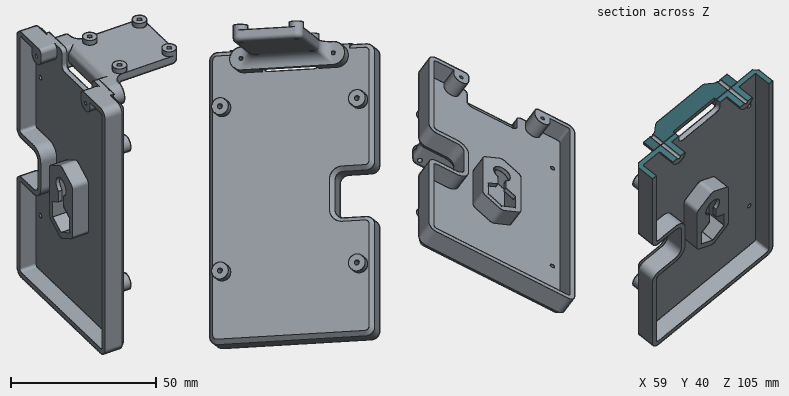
import cadquery as cq
import math


TRAY_WIDTH = 59.0
TRAY_HEIGHT = 103.0
TRAY_DEPTH = 8.4
WALL = 2.0
FLOOR = 2.0
OUTER_RADIUS = 3.0
INNER_RADIUS = OUTER_RADIUS - WALL
BACK_CHAMFER = 1.6
POCKET_DEPTH = TRAY_DEPTH - FLOOR

NOTCH_DEPTH = 14.2
NOTCH_HEIGHT = 16.4
NOTCH_Z = TRAY_HEIGHT - 52.7
NOTCH_WALL = 1.8
NOTCH_RADIUS = 3.0

SCREW_X = 16.5
SCREW_DROP = 4.0
SCREW_Z = TRAY_HEIGHT - SCREW_DROP
SCREW_HOLE = 1.4
SCREW_BOSS_RADIUS = 3.0
GATE_HALF_WIDTH = SCREW_X - SCREW_BOSS_RADIUS
GATE_FLARE = 1.6
CHAMFER_STOP_X = 21.0
CHAMFER_STOP_FLARE = 0.8

SLOT_WIDTH = 20.2
SLOT_DEPTH = 8.1
SLOT_CORNER_RADIUS = 2.0
SLOT_FLARE = 1.7

STANDOFF_X = 24.5
STANDOFF_SPACING_Z = 58.0
STANDOFF_TOP_Z = TRAY_HEIGHT - 20.1
STANDOFF_DIAMETER = 6.0
STANDOFF_LENGTH = 3.3
BOARD_HOLE = 1.7

KEYHOLE_TOP_Z = TRAY_HEIGHT - 48.9
KEYHOLE_TRAVEL = 12.8
KEYHOLE_BOTTOM_Z = KEYHOLE_TOP_Z - KEYHOLE_TRAVEL
HANGER_WIDTH = 15.4
HANGER_RADIUS = 2.0
HEAD_WIDTH = 11.1
HEAD_DEPTH = 7.2
HANGER_LIP = 1.5
NECK_WIDTH = 3.3
KEYHOLE_DIAMETER = 6.7

BLOCK_HEIGHT = 8.1
BLOCK_RADIUS = BLOCK_HEIGHT / 2
BLOCK_DEPTH = 4.9
TOTAL_DEPTH = 40.0
SHELF_THICKNESS = 3.9
SHELF_EDGE_RADIUS = 1.4
SHELF_FILLET = 4.0
CAMERA_SPACING = 20.0
CAMERA_POST_DIAMETER = 5.0
CAMERA_POST_HEIGHT = 2.0
SHELF_WIDTH = CAMERA_SPACING + CAMERA_POST_DIAMETER
BLOCK_BACK_Y = TRAY_DEPTH + BLOCK_DEPTH
SHELF_BACK_Y = TOTAL_DEPTH
BLOCK_MIDDLE_Z = TRAY_HEIGHT - BLOCK_RADIUS
BLOCK_BOTTOM_Z = TRAY_HEIGHT - BLOCK_HEIGHT

RELIEF_DEPTH = 0.7
RELIEF_OUTER_RADIUS = 2.4
RELIEF_SLOPE = 0.7
RELIEF_KNEE_RADIUS = 2.0

DIAGONAL = math.sqrt(0.5)
OVERCUT = 1.0
SELECT_MARGIN = 0.1


def front_plane(y):
    """Sketch plane facing the front: local x is X, local y is Z, negative extrusion goes to the back."""
    return cq.Workplane("XZ", origin=(0, y, 0))


def rod(x, z, diameter, y_start, y_end):
    return front_plane(y_start).center(x, z).circle(diameter / 2).extrude(y_start - y_end)


def upright(x, y, diameter, z_start, z_end):
    return cq.Workplane("XY", origin=(x, y, z_start)).circle(diameter / 2).extrude(z_end - z_start)


def tray_outline(inset, notch_inset, y_start, y_end, outer_radius, notch_radius):
    """Rectangle with the side notch, moved inwards by the insets and extruded along Y."""
    right = TRAY_WIDTH / 2 - inset
    top = TRAY_HEIGHT - inset
    notch_x = -TRAY_WIDTH / 2 + NOTCH_DEPTH + notch_inset
    notch_top = NOTCH_Z + NOTCH_HEIGHT / 2 + inset
    notch_bottom = NOTCH_Z - NOTCH_HEIGHT / 2 - inset
    outline = (
        front_plane(y_start)
        .moveTo(-right, inset)
        .lineTo(right, inset)
        .lineTo(right, top)
        .lineTo(-right, top)
        .lineTo(-right, notch_top)
        .lineTo(notch_x, notch_top)
        .lineTo(notch_x, notch_bottom)
        .lineTo(-right, notch_bottom)
        .close()
        .extrude(y_start - y_end)
    )
    middle_y = (y_start + y_end) / 2
    notch_edges = cq.selectors.BoxSelector(
        (notch_x - SELECT_MARGIN, middle_y - SELECT_MARGIN, notch_bottom - SELECT_MARGIN),
        (notch_x + SELECT_MARGIN, middle_y + SELECT_MARGIN, notch_top + SELECT_MARGIN),
    )
    outline = outline.edges(notch_edges).fillet(notch_radius)
    left_edges = outline.edges("|Y").edges("<X")
    right_edges = outline.edges("|Y").edges(">X")
    return left_edges.add(right_edges).fillet(outer_radius)


def flared_channel(half_width, flare, depth, y_start, y_end):
    """Upright channel through the top edge of the tray, its sides curving outwards at the top."""
    top = TRAY_HEIGHT
    bend = flare * (1 - DIAGONAL)
    return (
        front_plane(y_start)
        .moveTo(-half_width, top - depth)
        .lineTo(half_width, top - depth)
        .lineTo(half_width, top - flare)
        .threePointArc((half_width + bend, top - bend), (half_width + flare, top))
        .lineTo(half_width + flare, top + OVERCUT)
        .lineTo(-half_width - flare, top + OVERCUT)
        .lineTo(-half_width - flare, top)
        .threePointArc((-half_width - bend, top - bend), (-half_width, top - flare))
        .close()
        .extrude(y_start - y_end)
    )


def hexagon_corners(width, z):
    """Corners of a regular hexagon with upright sides, anticlockwise from the upper right."""
    radius = width / 2 / math.cos(math.pi / 6)
    angles = [math.pi / 6 + step * math.pi / 3 for step in range(6)]
    return [(radius * math.cos(angle), z + radius * math.sin(angle)) for angle in angles]


def long_hexagon(width, y_start, y_end):
    """Hexagon stretched from the lower to the upper keyhole centre."""
    upper_half = hexagon_corners(width, KEYHOLE_TOP_Z)[:3]
    lower_half = hexagon_corners(width, KEYHOLE_BOTTOM_Z)[3:]
    return front_plane(y_start).polyline(upper_half + lower_half).close().extrude(y_start - y_end)


def tray_shell():
    block = tray_outline(0, 0, 0, TRAY_DEPTH, OUTER_RADIUS, NOTCH_RADIUS)
    shell = block.faces(">Y").chamfer(BACK_CHAMFER)
    square_edge = flared_channel(
        CHAMFER_STOP_X, CHAMFER_STOP_FLARE, BACK_CHAMFER, TRAY_DEPTH - BACK_CHAMFER, TRAY_DEPTH
    ).intersect(block)
    pocket = tray_outline(WALL, NOTCH_WALL, 0, POCKET_DEPTH, INNER_RADIUS, NOTCH_RADIUS + NOTCH_WALL)
    return shell.union(square_edge).cut(pocket)


def screw_boss(x):
    post = rod(x, SCREW_Z, 2 * SCREW_BOSS_RADIUS, 0, POCKET_DEPTH)
    web = (
        front_plane(0)
        .center(x, TRAY_HEIGHT - SCREW_DROP / 2)
        .rect(2 * SCREW_BOSS_RADIUS, SCREW_DROP)
        .extrude(-POCKET_DEPTH)
    )
    return post.union(web)


def keyhole():
    """Front opening of the hanger: round entry, narrow neck and hexagonal lower end."""
    entry = rod(0, KEYHOLE_TOP_Z, KEYHOLE_DIAMETER, 0, HANGER_LIP)
    neck = (
        front_plane(0)
        .center(0, (KEYHOLE_TOP_Z + KEYHOLE_BOTTOM_Z) / 2)
        .rect(NECK_WIDTH, KEYHOLE_TRAVEL)
        .extrude(-HANGER_LIP)
    )
    lower_end = hexagon_corners(HEAD_WIDTH, KEYHOLE_BOTTOM_Z)
    hexagon = front_plane(0).polyline(lower_end).close().extrude(-HANGER_LIP)
    return entry.union(neck).union(hexagon)


def build_tray():
    tray = tray_shell()
    for side in (-1, 1):
        tray = tray.union(screw_boss(side * SCREW_X))
    hanger = long_hexagon(HANGER_WIDTH, 0, POCKET_DEPTH).edges("|Y").fillet(HANGER_RADIUS)
    tray = tray.union(hanger)
    tray = tray.cut(keyhole())
    tray = tray.cut(long_hexagon(HEAD_WIDTH, HANGER_LIP, HEAD_DEPTH))

    tray = tray.cut(flared_channel(GATE_HALF_WIDTH, GATE_FLARE, SCREW_DROP, 0, POCKET_DEPTH))
    slot = flared_channel(SLOT_WIDTH / 2, SLOT_FLARE, SLOT_DEPTH, POCKET_DEPTH, TRAY_DEPTH)
    tray = tray.cut(slot.edges("|Y and <Z").fillet(SLOT_CORNER_RADIUS))
    for side in (-1, 1):
        tray = tray.cut(rod(side * SCREW_X, SCREW_Z, SCREW_HOLE, 0, TRAY_DEPTH))
        for z in (STANDOFF_TOP_Z, STANDOFF_TOP_Z - STANDOFF_SPACING_Z):
            x = side * STANDOFF_X
            standoff_end = TRAY_DEPTH + STANDOFF_LENGTH
            tray = tray.union(rod(x, z, STANDOFF_DIAMETER, TRAY_DEPTH, standoff_end))
            tray = tray.cut(rod(x, z, BOARD_HOLE, 0, standoff_end))
    return tray


def bracket_block():
    """Block with round ends that lies against the back of the tray."""
    return (
        front_plane(TRAY_DEPTH)
        .center(0, BLOCK_MIDDLE_Z)
        .slot2D(2 * SCREW_X + BLOCK_HEIGHT, BLOCK_HEIGHT)
        .extrude(-BLOCK_DEPTH)
    )


def shelf():
    """Shelf behind the block, joined to it by fillets in plan and from below."""
    top = TRAY_HEIGHT
    underside = top - SHELF_THICKNESS
    fillet_bend = SHELF_FILLET * (1 - DIAGONAL)
    half = SHELF_WIDTH / 2
    corner = CAMERA_POST_DIAMETER / 2
    corner_bend = corner * (1 - DIAGONAL)
    root = half + SHELF_FILLET
    side_profile = (
        cq.Workplane("YZ", origin=(-root, 0, 0))
        .moveTo(BLOCK_BACK_Y, top)
        .lineTo(SHELF_BACK_Y, top)
        .lineTo(SHELF_BACK_Y, underside)
        .lineTo(BLOCK_BACK_Y + SHELF_FILLET, underside)
        .threePointArc(
            (BLOCK_BACK_Y + fillet_bend, underside - fillet_bend),
            (BLOCK_BACK_Y, underside - SHELF_FILLET),
        )
        .close()
        .extrude(2 * root)
    )
    plan = (
        cq.Workplane("XY", origin=(0, 0, BLOCK_BOTTOM_Z))
        .moveTo(-root, BLOCK_BACK_Y)
        .lineTo(root, BLOCK_BACK_Y)
        .threePointArc(
            (half + fillet_bend, BLOCK_BACK_Y + fillet_bend), (half, BLOCK_BACK_Y + SHELF_FILLET)
        )
        .lineTo(half, SHELF_BACK_Y - corner)
        .threePointArc(
            (half - corner_bend, SHELF_BACK_Y - corner_bend), (half - corner, SHELF_BACK_Y)
        )
        .lineTo(corner - half, SHELF_BACK_Y)
        .threePointArc(
            (corner_bend - half, SHELF_BACK_Y - corner_bend), (-half, SHELF_BACK_Y - corner)
        )
        .lineTo(-half, BLOCK_BACK_Y + SHELF_FILLET)
        .threePointArc((-half - fillet_bend, BLOCK_BACK_Y + fillet_bend), (-root, BLOCK_BACK_Y))
        .close()
        .extrude(TRAY_HEIGHT - BLOCK_BOTTOM_Z)
    )
    return side_profile.intersect(plan)


def cable_relief():
    """Space left for the cable in front of a wall that is rounded over alike at its top and bottom."""
    face_y = TRAY_DEPTH + RELIEF_DEPTH
    knee_y = face_y + RELIEF_KNEE_RADIUS
    knee_rise = RELIEF_KNEE_RADIUS * DIAGONAL
    outer_run = RELIEF_OUTER_RADIUS * DIAGONAL
    edge_drop = RELIEF_OUTER_RADIUS - outer_run
    half_bend = math.pi / 8

    edge_rise = BLOCK_RADIUS
    slope_outer = (knee_y - knee_rise + RELIEF_SLOPE, edge_rise - edge_drop)
    slope_inner = (knee_y - knee_rise, slope_outer[1] - RELIEF_SLOPE)
    face_rise = slope_inner[1] - knee_rise
    edge_y = slope_outer[0] + outer_run
    knee_middle = (
        knee_y - RELIEF_KNEE_RADIUS * math.cos(half_bend),
        face_rise + RELIEF_KNEE_RADIUS * math.sin(half_bend),
    )
    outer_middle = (
        edge_y - RELIEF_OUTER_RADIUS * math.sin(half_bend),
        edge_rise - RELIEF_OUTER_RADIUS * (1 - math.cos(half_bend)),
    )
    upper_half = (
        cq.Workplane("YZ", origin=(-SHELF_WIDTH / 2, 0, BLOCK_MIDDLE_Z))
        .moveTo(TRAY_DEPTH, 0)
        .lineTo(face_y, 0)
        .lineTo(face_y, face_rise)
        .threePointArc(knee_middle, slope_inner)
        .lineTo(*slope_outer)
        .threePointArc(outer_middle, (edge_y, edge_rise))
        .lineTo(TRAY_DEPTH, edge_rise)
        .close()
        .extrude(SHELF_WIDTH)
    )
    lower_half = upper_half.mirror("XY", (0, 0, BLOCK_MIDDLE_Z))
    sides = flared_channel(SLOT_WIDTH / 2, SLOT_FLARE, BLOCK_HEIGHT, TRAY_DEPTH, BLOCK_BACK_Y)
    return upper_half.union(lower_half).intersect(sides)


def build_bracket():
    bracket = bracket_block().union(shelf())
    underside = TRAY_HEIGHT - SHELF_THICKNESS
    rim = cq.selectors.BoxSelector(
        (-SHELF_WIDTH, BLOCK_BACK_Y + SHELF_FILLET, underside - SELECT_MARGIN),
        (SHELF_WIDTH, SHELF_BACK_Y + OVERCUT, underside + SELECT_MARGIN),
    )
    bracket = bracket.edges(rim).edges("#Z").fillet(SHELF_EDGE_RADIUS)
    bracket = bracket.cut(cable_relief())
    screw_end_y = BLOCK_BACK_Y + SHELF_FILLET
    for side in (-1, 1):
        bracket = bracket.cut(rod(side * SCREW_X, SCREW_Z, SCREW_HOLE, TRAY_DEPTH, screw_end_y))
        x = side * CAMERA_SPACING / 2
        back_post_y = SHELF_BACK_Y - CAMERA_POST_DIAMETER / 2
        post_top = TRAY_HEIGHT + CAMERA_POST_HEIGHT
        for y in (back_post_y, back_post_y - CAMERA_SPACING):
            bracket = bracket.union(upright(x, y, CAMERA_POST_DIAMETER, TRAY_HEIGHT, post_top))
            bracket = bracket.cut(upright(x, y, BOARD_HOLE, BLOCK_BOTTOM_Z, post_top))
    return bracket


tray = build_tray()
bracket = build_bracket()
result = cq.Compound.makeCompound([tray.val(), bracket.val()])